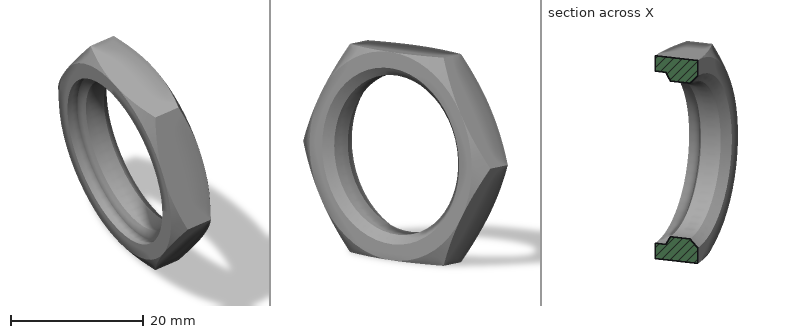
import cadquery as cq
import math

corner_diameter = 36.95
thickness = 7.0
bore_diameter = 24.45
bore_mouth_diameter = 27.05
corner_chamfer_angle = 30.0
counterbore_depth = 1.75
shoulder_angle = 30.0
rear_chamfer_angle = 45.0

corner_radius = corner_diameter / 2
flat_radius = corner_radius * math.cos(math.radians(30))
bore_radius = bore_diameter / 2
mouth_radius = bore_mouth_diameter / 2
half_thickness = thickness / 2
corner_drop = (corner_radius - flat_radius) * math.tan(math.radians(corner_chamfer_angle))
shoulder_length = (mouth_radius - bore_radius) * math.tan(math.radians(shoulder_angle))
counterbore_end = half_thickness - counterbore_depth
rear_chamfer_depth = (mouth_radius - bore_radius) * math.tan(math.radians(rear_chamfer_angle))
bore_end = counterbore_end - shoulder_length


def hexagon_prism():
    """Hexagon with corners on the X axis, centred on the origin."""
    return cq.Workplane("XZ").polygon(6, corner_diameter).extrude(half_thickness, both=True)


def chamfered_ring():
    """Outer corner chamfers, and a bore with a counterbore and cone at -Y and a chamfer at +Y."""
    profile = [
        (bore_radius, half_thickness - rear_chamfer_depth),
        (mouth_radius, half_thickness),
        (flat_radius, half_thickness),
        (corner_radius, half_thickness - corner_drop),
        (corner_radius, corner_drop - half_thickness),
        (flat_radius, -half_thickness),
        (mouth_radius, -half_thickness),
        (mouth_radius, -counterbore_end),
        (bore_radius, -bore_end),
    ]
    return cq.Workplane("XY").polyline(profile).close().revolve(360, (0, 0, 0), (0, 1, 0))


result = hexagon_prism().intersect(chamfered_ring())